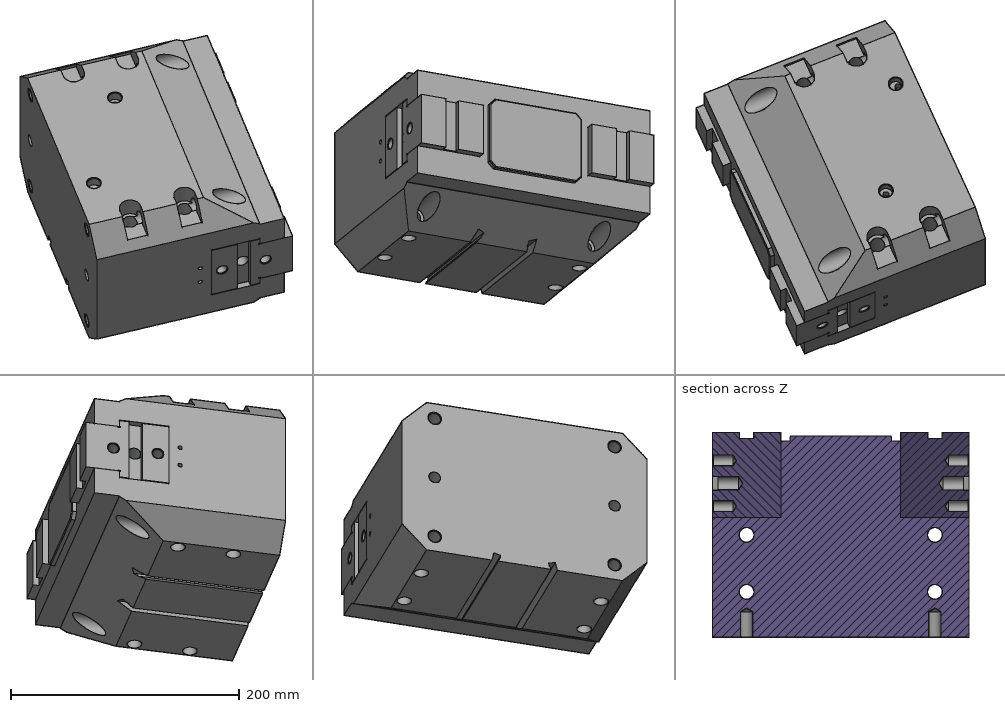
import cadquery as cq
import math


LENGTH = 225.0
HEIGHT = 150.0
HOUSING_DEPTH = 172.4
CORNER_CHAMFER = 22.5
SLOPE_START = 105.0
SLOPE_ANGLE = 30.0
COVER_START = 149.8
COVER_HEIGHT = 97.5

PAD_LENGTH = 89.0
PAD_HEIGHT = 64.8
PAD_RISE = 4.5
PAD_CORNER = 5.5
PAD_EDGE = 1.0

JAW_TIP = 180.0
JAW_LENGTH = 60.0
FINGER_HEIGHT = 46.0
FOOT_HEIGHT = 58.0
FOOT_START = 105.3
GUIDE_GAP = 0.7
RELIEF_WIDTH = 2.0
RELIEF_DEPTH = 0.7
KEYWAY_WIDTH = 12.4
KEYWAY_DEPTH = 5.5
SIDE_SLOT_WIDTH = 12.0
SIDE_SLOT_DEPTH = 5.0
JAW_HOLE_Y = 135.2
JAW_HOLE_SPACING = 20.0
JAW_HOLE_DIAMETER = 9.2
JAW_CENTRE_HOLE_DIAMETER = 11.2
JAW_HOLE_DEPTH = 18.0
JAW_HOLE_CHAMFER = 0.7

SCREW_X = 82.5
SCREW_Z = 60.0
SCREW_DIAMETER = 11.0
SCREW_CHAMFER = 0.7
SCREW_HEAD_DIAMETER = 17.0
SCREW_HEAD_START = 102.5
PIN_DIAMETER = 10.5
PIN_DEPTH = 22.5

CROSS_SCREW_Y = (40.0, 90.0)
CROSS_SCREW_DIAMETER = 12.8
CROSS_POCKET_WIDTH = 19.0
CROSS_POCKET_END = 104.8
CROSS_POCKET_DEPTH = 18.0

PORT_X = 45.0
PORT_DIAMETER = 11.7
PORT_CHAMFER = 0.7
PORT_DEPTH = 9.0
PORT_BORE = 5.5
PORT_BORE_DEPTH = 18.0
PORT_Y = (66.2, 18.5)
PORT_BORE_Y = (66.2, 16.2)
END_HOLE_Y = 95.2
END_HOLE_Z = 9.0
END_HOLE_DIAMETER = 3.5
END_HOLE_DEPTH = 9.0

GROOVE_PROFILE = [(30.2, 0), (28.1, 7.6), (22.0, 6.0), (22.5, 3.4), (23.8, 1.5), (24.5, 0)]

POINT_ANGLE = 118.0
SIDES = (-1, 1)


def box(x, y, z):
    """Box given by its (low, high) limits along each axis."""
    size = [high - low for low, high in (x, y, z)]
    return cq.Workplane("XY").box(*size, centered=False).translate((x[0], y[0], z[0]))


def cylinder(start, direction, diameter, depth):
    solid = cq.Solid.makeCylinder(diameter / 2, depth, cq.Vector(*start), cq.Vector(*direction))
    return cq.Workplane(solid)


def cone(start, direction, wide, narrow, depth):
    solid = cq.Solid.makeCone(wide / 2, narrow / 2, depth, cq.Vector(*start), cq.Vector(*direction))
    return cq.Workplane(solid)


def chamfered_hole(start, direction, diameter, depth, chamfer):
    """Flat-bottomed hole with a chamfered mouth."""
    hole = cylinder(start, direction, diameter, depth)
    return hole.union(cone(start, direction, diameter + 2 * chamfer, diameter, chamfer))


def drilled_hole(start, direction, diameter, depth):
    """Blind hole with a drill point below its full depth."""
    bottom = cq.Vector(*start) + cq.Vector(*direction) * depth
    point_depth = diameter / 2 / math.tan(math.radians(POINT_ANGLE / 2))
    hole = cylinder(start, direction, diameter, depth)
    return hole.union(cone(bottom.toTuple(), direction, diameter, 0, point_depth))


def make_housing_block():
    """Octagonal block that narrows towards the cover on the top and bottom."""
    octagon = cq.Workplane("XZ").rect(LENGTH, HEIGHT).extrude(-HOUSING_DEPTH)
    octagon = octagon.edges("|Y").chamfer(CORNER_CHAMFER)
    slope_drop = (COVER_START - SLOPE_START) * math.tan(math.radians(SLOPE_ANGLE))
    slope_end = HEIGHT / 2 - slope_drop
    profile = (
        cq.Workplane("YZ")
        .polyline([
            (0, -HEIGHT / 2),
            (SLOPE_START, -HEIGHT / 2),
            (COVER_START, -slope_end),
            (COVER_START, -COVER_HEIGHT / 2),
            (HOUSING_DEPTH, -COVER_HEIGHT / 2),
            (HOUSING_DEPTH, COVER_HEIGHT / 2),
            (COVER_START, COVER_HEIGHT / 2),
            (COVER_START, slope_end),
            (SLOPE_START, HEIGHT / 2),
            (0, HEIGHT / 2),
        ])
        .close()
        .extrude(LENGTH / 2, both=True)
    )
    return octagon.intersect(profile)


def make_pad():
    pad = cq.Workplane("XZ", origin=(0, HOUSING_DEPTH, 0)).rect(PAD_LENGTH, PAD_HEIGHT).extrude(-PAD_RISE)
    return pad.edges("|Y").chamfer(PAD_CORNER).faces(">Y").chamfer(PAD_EDGE)


def make_jaw_guides(side):
    """T-shaped room for one jaw: a wide one for its foot and a close one for its finger."""
    x = sorted((side * LENGTH / 2, side * (LENGTH / 2 - JAW_LENGTH)))
    room = FOOT_HEIGHT / 2 + GUIDE_GAP
    foot = box(x, (FOOT_START, COVER_START), (-room, room))
    finger = box(x, (COVER_START, HOUSING_DEPTH), (-FINGER_HEIGHT / 2, FINGER_HEIGHT / 2))
    return foot.union(finger)


def make_screw_holes():
    """Chamfered through holes along Y with head bores from the sloped faces, and two blind pin holes."""
    along = (0, 1, 0)
    head_depth = COVER_START - SCREW_HEAD_START
    holes = cq.Workplane()
    for x in (-SCREW_X, SCREW_X):
        holes = holes.add(drilled_hole((x, 0, 0), along, PIN_DIAMETER, PIN_DEPTH))
        for z in (-SCREW_Z, SCREW_Z):
            holes = holes.add(chamfered_hole((x, 0, z), along, SCREW_DIAMETER, HOUSING_DEPTH, SCREW_CHAMFER))
            holes = holes.add(cylinder((x, SCREW_HEAD_START, z), along, SCREW_HEAD_DIAMETER, head_depth))
    return holes.combine()


def make_cross_screw_holes():
    """Through holes along Z, each with a head pocket that opens to the corner chamfer."""
    floor = HEIGHT / 2 - CROSS_POCKET_DEPTH
    holes = cq.Workplane()
    for side in SIDES:
        for y in CROSS_SCREW_Y:
            x = side * SCREW_X
            pocket_x = sorted((x, side * CROSS_POCKET_END))
            pocket_y = (y - CROSS_POCKET_WIDTH / 2, y + CROSS_POCKET_WIDTH / 2)
            holes = holes.add(cylinder((x, y, -HEIGHT / 2), (0, 0, 1), CROSS_SCREW_DIAMETER, HEIGHT))
            holes = holes.add(cylinder((x, y, floor), (0, 0, 1), CROSS_POCKET_WIDTH, CROSS_POCKET_DEPTH))
            holes = holes.add(box(pocket_x, pocket_y, (floor, HEIGHT / 2)))
    return holes.combine()


def make_air_ports():
    down = (0, 0, -1)
    top = HEIGHT / 2
    ports = cq.Workplane()
    for side, y, bore_y in zip(SIDES, PORT_Y, PORT_BORE_Y):
        x = side * PORT_X
        ports = ports.add(chamfered_hole((x, y, top), down, PORT_DIAMETER, PORT_DEPTH, PORT_CHAMFER))
        ports = ports.add(drilled_hole((x, bore_y, top), down, PORT_BORE, PORT_BORE_DEPTH))
    return ports.combine()


def make_end_holes():
    holes = cq.Workplane()
    for side in SIDES:
        for z in (-END_HOLE_Z, END_HOLE_Z):
            start = (side * LENGTH / 2, END_HOLE_Y, z)
            holes = holes.add(drilled_hole(start, (-side, 0, 0), END_HOLE_DIAMETER, END_HOLE_DEPTH))
    return holes.combine()


def make_sensor_groove(side):
    outline = [(side * x, rise - HEIGHT / 2) for x, rise in GROOVE_PROFILE]
    return cq.Workplane("XZ").polyline(outline).close().extrude(-HOUSING_DEPTH)


def make_housing():
    housing = make_housing_block().union(make_pad())
    for side in SIDES:
        housing = housing.cut(make_jaw_guides(side)).cut(make_sensor_groove(side))
    for holes in (make_screw_holes(), make_cross_screw_holes(), make_air_ports(), make_end_holes()):
        housing = housing.cut(holes)
    return housing


def make_jaw(side):
    """T-shaped jaw with a keyway across its tip, a slot across its end and three blind holes."""
    end = side * LENGTH / 2
    x = sorted((end, end - side * JAW_LENGTH))
    half_foot = FOOT_HEIGHT / 2
    half_finger = FINGER_HEIGHT / 2
    jaw = box(x, (FOOT_START, COVER_START), (-half_foot, half_foot))
    jaw = jaw.union(box(x, (COVER_START, JAW_TIP), (-half_finger, half_finger)))

    for z in (-half_finger, half_finger):
        relief_y = (COVER_START - RELIEF_WIDTH / 2, COVER_START + RELIEF_WIDTH / 2)
        relief_z = sorted((z, z - math.copysign(RELIEF_DEPTH, z)))
        jaw = jaw.cut(box(x, relief_y, relief_z))

    key_x = (side * SCREW_X - KEYWAY_WIDTH / 2, side * SCREW_X + KEYWAY_WIDTH / 2)
    jaw = jaw.cut(box(key_x, (JAW_TIP - KEYWAY_DEPTH, JAW_TIP), (-half_finger, half_finger)))

    slot_floor = end - side * SIDE_SLOT_DEPTH
    slot_y = (JAW_HOLE_Y - SIDE_SLOT_WIDTH / 2, JAW_HOLE_Y + SIDE_SLOT_WIDTH / 2)
    jaw = jaw.cut(box(sorted((end, slot_floor)), slot_y, (-half_foot, half_foot)))

    inward = (-side, 0, 0)
    jaw = jaw.cut(drilled_hole((slot_floor, JAW_HOLE_Y, 0), inward, JAW_CENTRE_HOLE_DIAMETER, JAW_HOLE_DEPTH))
    for y in (JAW_HOLE_Y - JAW_HOLE_SPACING, JAW_HOLE_Y + JAW_HOLE_SPACING):
        mouth = (end, y, 0)
        jaw = jaw.cut(chamfered_hole(mouth, inward, JAW_HOLE_DIAMETER, JAW_HOLE_DEPTH, JAW_HOLE_CHAMFER))
        jaw = jaw.cut(drilled_hole(mouth, inward, JAW_HOLE_DIAMETER, JAW_HOLE_DEPTH))
    return jaw


housing = make_housing()
jaws = [make_jaw(side) for side in SIDES]

result = cq.Compound.makeCompound([housing.val(), *[jaw.val() for jaw in jaws]])